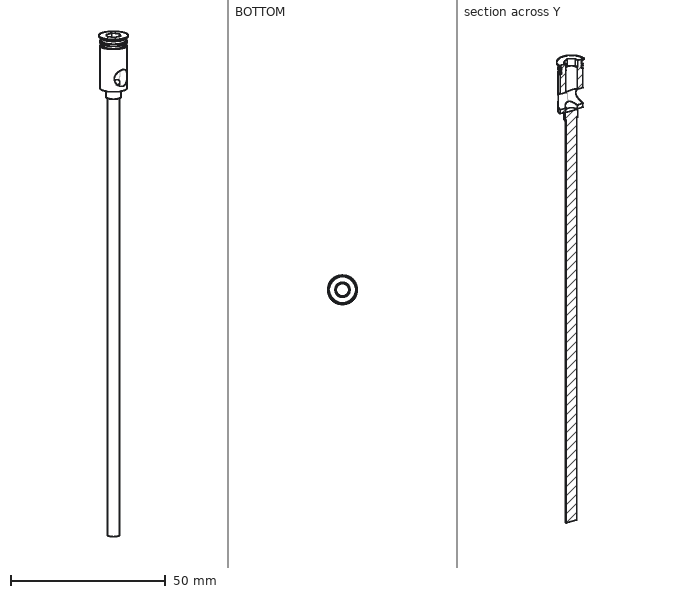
import cadquery as cq
import math

total_length = 168.0
flange_diameter = 9.5
body_diameter = 8.7
groove_diameter = 7.7
collar_diameter = 4.9
rod_diameter = 4.0

flange_rim = 0.3
flange_depth = 1.0
groove_width = 0.8
ring_thickness = 0.7
edge_chamfer = 0.2
body_depth = 17.8
collar_depth = 20.8

cross_hole_diameter = 5.5
cross_hole_depth = 13.5

socket_flats = 4.4
socket_depth = 2.5
socket_corners = socket_flats / math.cos(math.pi / 6)

bore_diameter = 4.0


def cylinder_down(diameter, top_depth, bottom_depth):
    """Vertical cylinder between two depths below the top face."""
    return (
        cq.Workplane("XY")
        .workplane(offset=total_length - bottom_depth)
        .circle(diameter / 2)
        .extrude(bottom_depth - top_depth)
    )


def make_head():
    """Tapered flange, two grooves with a ring between them, and the body."""
    ring_top = flange_depth + groove_width
    ring_bottom = ring_top + ring_thickness
    body_top = ring_bottom + groove_width
    core = cylinder_down(groove_diameter, 0, body_top)
    flange_overhang = (flange_diameter - groove_diameter) / 2
    flange = (
        cylinder_down(flange_diameter, 0, flange_depth)
        .faces("<Z")
        .chamfer(flange_depth - flange_rim, flange_overhang)
    )
    ring = cylinder_down(body_diameter, ring_top, ring_bottom)
    body = cylinder_down(body_diameter, body_top, body_depth).faces(">Z").chamfer(edge_chamfer)
    return body.union(core).union(flange).union(ring)


def make_shank():
    """Collar under the body and the long rod below it."""
    collar = cylinder_down(collar_diameter, body_depth, collar_depth)
    rod = cylinder_down(rod_diameter, collar_depth, total_length)
    return collar.union(rod)


def make_cross_hole():
    return (
        cq.Workplane("YZ")
        .center(0, total_length - cross_hole_depth)
        .circle(cross_hole_diameter / 2)
        .extrude(body_diameter, both=True)
    )


def make_socket():
    """Hexagonal recess opening into a round bore that crosses the cross hole."""
    hexagon = (
        cq.Workplane("XY")
        .workplane(offset=total_length - socket_depth)
        .transformed(rotate=(0, 0, 30))
        .polygon(6, socket_corners)
        .extrude(socket_depth)
    )
    return hexagon.union(cylinder_down(bore_diameter, socket_depth, body_depth))


result = make_head().union(make_shank()).cut(make_cross_hole()).cut(make_socket())